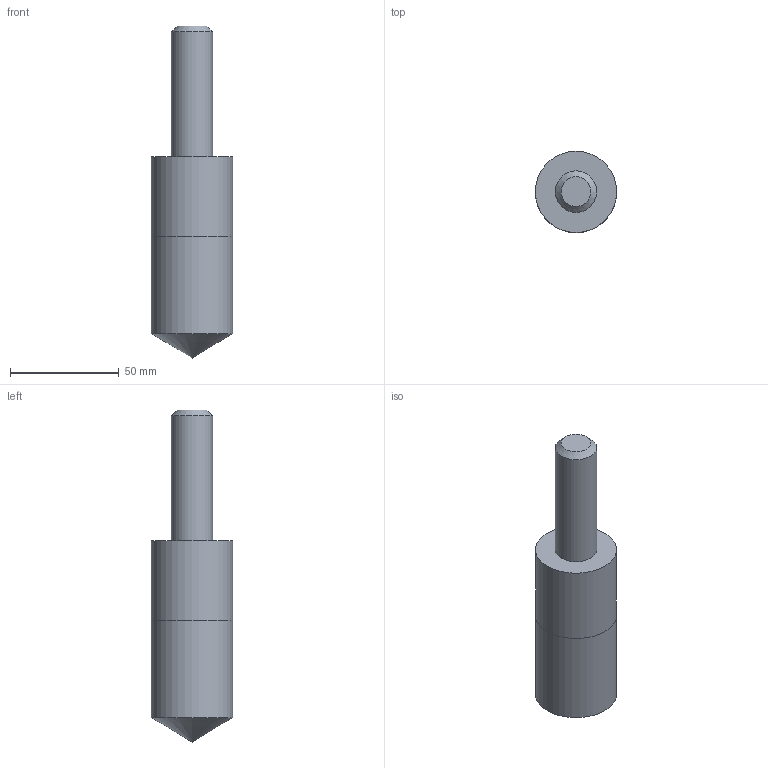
import cadquery as cq
import math

total_length = 152.4
body_diameter = 37.28
body_radius = body_diameter / 2

point_angle = 118.0
point_height = body_radius / math.tan(math.radians(point_angle / 2))
lower_barrel_length = 44.45

shank_diameter = 19.05
shank_radius = shank_diameter / 2
shank_length = 60.0
shank_chamfer = 2.7

tip_z = -total_length / 2
top_z = total_length / 2
joint_z = tip_z + point_height + lower_barrel_length
shoulder_z = top_z - shank_length


def make_pointed_body():
    """Barrel that ends in a conical point, turned about Z."""
    profile = (
        cq.Workplane("XZ")
        .moveTo(0, tip_z)
        .lineTo(body_radius, tip_z + point_height)
        .lineTo(body_radius, joint_z)
        .lineTo(0, joint_z)
        .close()
    )
    return profile.revolve(360, (0, 0), (0, 1))


def make_shank_body():
    """Barrel with a chamfered shank of smaller diameter on top."""
    barrel = (
        cq.Workplane("XY", origin=(0, 0, joint_z))
        .circle(body_radius)
        .extrude(shoulder_z - joint_z)
    )
    shank = (
        cq.Workplane("XY", origin=(0, 0, shoulder_z))
        .circle(shank_radius)
        .extrude(shank_length)
        .faces(">Z")
        .chamfer(shank_chamfer)
    )
    return barrel.union(shank)


pointed_body = make_pointed_body()
shank_body = make_shank_body()

result = cq.Compound.makeCompound([pointed_body.val(), shank_body.solids().val()])